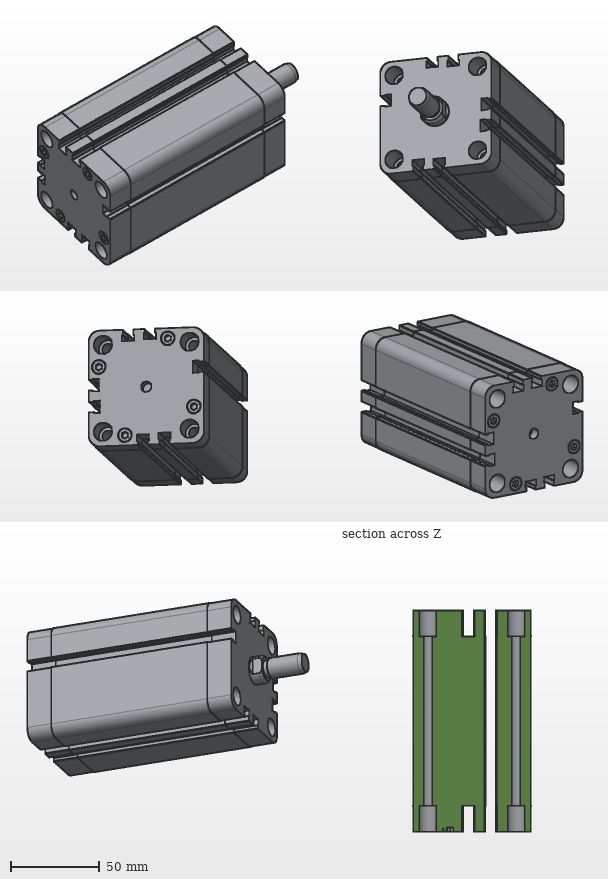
import cadquery as cq


TOTAL_LENGTH = 157.0
ROD_LENGTH = 31.4
WIDTH = 67.0
CAP_LENGTH = 14.8
CAP_INSET = 0.2
CORNER_RADIUS = 6.5

HOUSING_LENGTH = TOTAL_LENGTH - ROD_LENGTH
BARREL_LENGTH = HOUSING_LENGTH - 2 * CAP_LENGTH
HALF_WIDTH = WIDTH / 2

SLOT_MOUTH = 5.7
SLOT_UNDERCUT = 6.8
SLOT_CHAMFER = 0.3
DEEP_SLOT = {"centre": -10.5, "lip": 3.5, "depth": 6.6}
SHALLOW_SLOT = {"centre": 2.0, "lip": 2.5, "depth": 6.0}
QUARTER_TURNS = (0, 90, 180, 270)
PLAIN_TURN = 90

MOUNT_SPACING = 50.1
MOUNT_BORE = 6.6
MOUNT_COUNTERBORE = 10.5
MOUNT_COUNTERBORE_DEPTH = CAP_LENGTH

CENTRING_DIAMETER = 6.0
CENTRING_DEPTH = 6.3

SCREW_ALONG_SIDE = 12.4
SCREW_FROM_AXIS = 27.5
SCREW_HOLE = 8.0
SCREW_HEAD = 7.5
SCREW_GAP_DEPTH = 1.5
SOCKET_CORNERS = 4.1
SOCKET_DEPTH = 2.4

ROD_DIAMETER = 16.0
COLLAR_LENGTH = 7.5
SHOULDER_DIAMETER = 13.5
SHOULDER_LENGTH = 1.9
NECK_DIAMETER = 10.0
THREAD_DIAMETER = 12.0
THREAD_LENGTH = 21.4
THREAD_ROOT_CHAMFER = 0.5
TIP_DIAMETER = 10.5
TIP_LENGTH = 2.5
FLATS_WIDTH = 13.0
FLATS_START = 1.9


def section_plane(y):
    """Plane across the cylinder axis at y, with X to the right and Z up."""
    return cq.Workplane("XZ", origin=(0, y, 0))


def slot_cutter(slot, inset, turn, y, length):
    """Undercut slot in a side that lies `inset` inside the barrel; its walls recede as much."""
    mouth = SLOT_MOUTH / 2 + inset
    undercut = SLOT_UNDERCUT / 2 + inset
    side = HALF_WIDTH - inset
    lip = HALF_WIDTH - slot["lip"] + inset
    floor = HALF_WIDTH - slot["depth"] - inset
    right_half = [
        (mouth + SLOT_CHAMFER, side),
        (mouth, side - SLOT_CHAMFER),
        (mouth, lip),
        (undercut, lip),
        (undercut, floor),
    ]
    left_half = [(-offset, height) for offset, height in reversed(right_half)]
    outline = [(slot["centre"] + offset, height) for offset, height in right_half + left_half]
    cutter = section_plane(y).polyline(outline).close().extrude(-length)
    return cutter.rotate((0, 0, 0), (0, 1, 0), turn)


def profile_block(y, length, inset=0.0):
    """Stretch of the slotted square profile, reduced all round by `inset`."""
    side = WIDTH - 2 * inset
    block = section_plane(y).rect(side, side).extrude(-length).edges("|Y").fillet(CORNER_RADIUS)
    for turn in QUARTER_TURNS:
        block = block.cut(slot_cutter(DEEP_SLOT, inset, turn, y, length))
        if turn != PLAIN_TURN:
            block = block.cut(slot_cutter(SHALLOW_SLOT, inset, turn, y, length))
    return block


def cylinder(diameter, y, length):
    """Round solid on the cylinder axis, from y towards +Y."""
    return section_plane(y).circle(diameter / 2).extrude(-length)


def mount_holes():
    """Four through bores with a counterbore in each cap."""
    def row(diameter, y, length):
        corners = section_plane(y).rect(MOUNT_SPACING, MOUNT_SPACING, forConstruction=True).vertices()
        return corners.circle(diameter / 2).extrude(-length)

    holes = row(MOUNT_BORE, 0, HOUSING_LENGTH)
    for y in (0, HOUSING_LENGTH - MOUNT_COUNTERBORE_DEPTH):
        holes = holes.union(row(MOUNT_COUNTERBORE, y, MOUNT_COUNTERBORE_DEPTH))
    return holes


def screw_recesses():
    """Ring gap around each flush screw head, and its hexagon socket."""
    along = SCREW_ALONG_SIDE
    out = SCREW_FROM_AXIS
    plane = section_plane(0).transformed(rotate=(0, 0, 90))
    places = plane.pushPoints([(along, out), (out, -along), (-along, -out), (-out, along)])
    gaps = places.circle(SCREW_HOLE / 2).circle(SCREW_HEAD / 2).extrude(-SCREW_GAP_DEPTH)
    sockets = places.polygon(6, SOCKET_CORNERS).extrude(-SOCKET_DEPTH)
    return gaps.union(sockets)


def turned(half_section):
    """Solid turned about the Y axis from an open half section that starts and ends on it."""
    return half_section.close().revolve(360, (0, 0), (0, 1))


def piston_rod():
    """Turned rod: collar with rounded shoulder, neck, thread and tapered tip."""
    collar_end = HOUSING_LENGTH + COLLAR_LENGTH
    thread_start = TOTAL_LENGTH - THREAD_LENGTH
    thread_radius = THREAD_DIAMETER / 2
    rod_radius = ROD_DIAMETER / 2
    shoulder_radius = SHOULDER_DIAMETER / 2
    shoulder_drop = rod_radius - shoulder_radius
    shoulder_arc = (SHOULDER_LENGTH**2 + shoulder_drop**2) / (2 * shoulder_drop)
    collar = turned(
        cq.Workplane("XY")
        .moveTo(0, HOUSING_LENGTH)
        .lineTo(rod_radius, HOUSING_LENGTH)
        .lineTo(rod_radius, collar_end - SHOULDER_LENGTH)
        .radiusArc((shoulder_radius, collar_end), -shoulder_arc)
        .lineTo(0, collar_end)
    )
    shank = turned(
        cq.Workplane("XY")
        .moveTo(0, HOUSING_LENGTH)
        .lineTo(NECK_DIAMETER / 2, HOUSING_LENGTH)
        .lineTo(NECK_DIAMETER / 2, thread_start)
        .lineTo(thread_radius - THREAD_ROOT_CHAMFER, thread_start)
        .lineTo(thread_radius, thread_start + THREAD_ROOT_CHAMFER)
        .lineTo(thread_radius, TOTAL_LENGTH - TIP_LENGTH)
        .lineTo(TIP_DIAMETER / 2, TOTAL_LENGTH)
        .lineTo(0, TOTAL_LENGTH)
    )
    return collar.cut(rod_flats(collar_end)).union(shank)


def rod_flats(collar_end):
    """Two wrench flats facing -X and +X, with a 45 degree run-out towards the cap."""
    flat = FLATS_WIDTH / 2
    rim = ROD_DIAMETER / 2
    flat_start = HOUSING_LENGTH + FLATS_START
    outline = [
        (flat, collar_end),
        (flat, flat_start),
        (rim, flat_start - (rim - flat)),
        (rim, collar_end),
    ]
    cutter = cq.Workplane("XY").polyline(outline).close().extrude(ROD_DIAMETER, both=True)
    return cutter.union(cutter.mirror("YZ"))


housing = (
    profile_block(0, CAP_LENGTH, CAP_INSET)
    .union(profile_block(CAP_LENGTH, BARREL_LENGTH))
    .union(profile_block(CAP_LENGTH + BARREL_LENGTH, CAP_LENGTH, CAP_INSET))
)
housing = housing.cut(mount_holes()).cut(screw_recesses())
housing = housing.cut(cylinder(CENTRING_DIAMETER, 0, CENTRING_DEPTH))

result = housing.union(piston_rod())